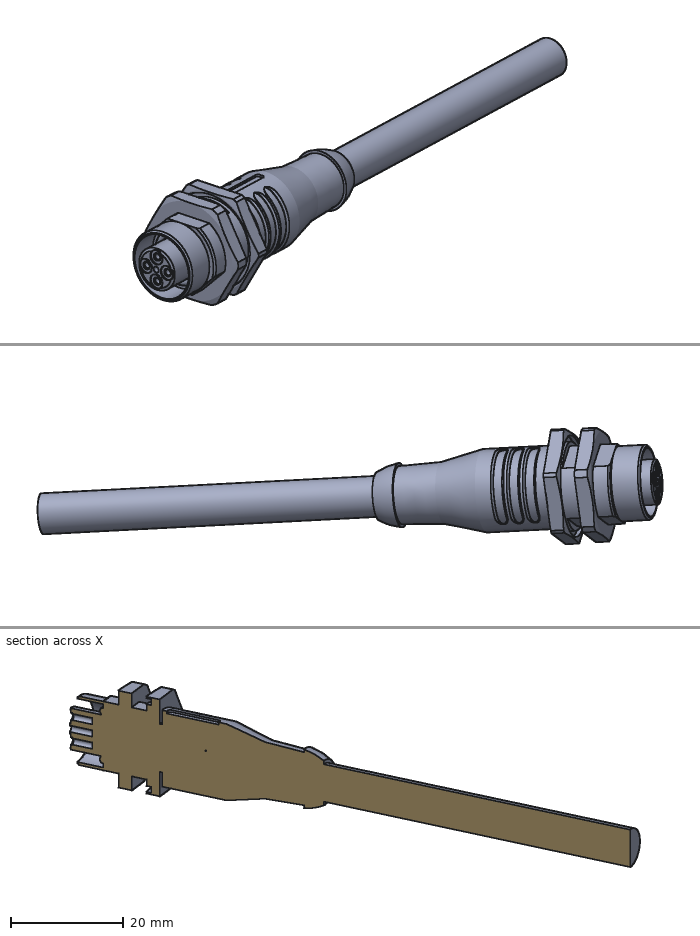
import cadquery as cq
import math

TOTAL_LENGTH = 113.5

INSERT_DIAMETER = 8.2
INSERT_FACE_DIAMETER = 7.0
INSERT_BEVEL_DEPTH = 0.2
CONTACT_COUNT = 4
CONTACT_HOLE_DIAMETER = 1.1
CONTACT_LEAD_DIAMETER = 1.5
CONTACT_LEAD_DEPTH = 0.5
CONTACT_RECESS_DIAMETER = 2.7
CONTACT_RECESS_DEPTH = 0.2
CONTACT_HOLE_DEPTH = 4.5
CONTACT_CIRCLE_RADIUS = 2.4

SHELL_DIAMETER = 13.5
SHELL_BORE = 12.3
SHELL_FRONT = 1.6
SHELL_CHAMFER = 0.3
SOCKET_FLOOR = 6.8

SEAL_CENTRE_DIAMETER = 9.4
SEAL_THICKNESS = 1.5

BARREL_DIAMETER = 16.0
BARREL_FRONT = 6.8
BARREL_CHAMFER = 0.3
FLAT_ANGLES = (90, 135, 270, 315)

HEX_ACROSS_FLATS = 19.0
NUT_FRONT = 9.9
NUT_CORNER_DIAMETER = 21.1
FLANGE_FRONT = 15.5
FLANGE_CORNER_DIAMETER = 21.5
HEX_THICKNESS = 2.7
HEX_CHAMFER_DEPTH = 0.3
SEAL_RECESS_DIAMETER = 18.2
SEAL_RECESS_DEPTH = 0.9

NECK_DIAMETER = 9.4
GRIP_DIAMETER = 15.0
GRIP_FRONT = 18.7
GRIP_END = 31.8
TAPER_END_DIAMETER = 11.1
TAPER_END = 39.6
SLEEVE_END_DIAMETER = 10.4
SLEEVE_END = 47.4
COLLAR_FRONT_DIAMETER = 11.6
COLLAR_END_DIAMETER = 8.7
COLLAR_END = 51.5
COLLAR_BULGE = 0.2
CABLE_DIAMETER = 7.4

RECESS_DEPTH = 0.5
FINGER_GROOVE_WIDTH = 1.6
FINGER_GROOVE_SPAN = 13.5
GROOVE_BEVEL = 0.4
FINGER_GROOVE_PITCH = 3.0
FINGER_GROOVE_COUNT = 3
FIRST_FINGER_GROOVE = 21.8
MARK_FRONT = 19.7
MARK_END = 30.2
MARK_WIDTH = 1.7
MARK_CORNER_RADIUS = 0.5


def cylinder(diameter, front, end):
    """Solid cylinder on the part axis between two Y positions."""
    return cq.Workplane("XZ", origin=(0, front, 0)).circle(diameter / 2).extrude(front - end)


def tube(outer, inner, front, end):
    return cylinder(outer, front, end).cut(cylinder(inner, front, end))


def revolved(outline):
    """Revolve an outline of (radius, Y) about the part axis."""
    return outline.close().revolve(360, (0, 0, 0), (0, 1, 0))


def hexagon(front, corner_diameter):
    """Hexagon with flats at +-Z, turned corners and a chamfered front face."""
    end = front + HEX_THICKNESS
    prism = (
        cq.Workplane("XZ", origin=(0, front, 0))
        .polygon(6, HEX_ACROSS_FLATS / math.cos(math.pi / 6))
        .extrude(-HEX_THICKNESS)
    )
    corner_radius = corner_diameter / 2
    turning = revolved(
        cq.Workplane("XY")
        .moveTo(0, front)
        .lineTo(HEX_ACROSS_FLATS / 2, front)
        .lineTo(corner_radius, front + HEX_CHAMFER_DEPTH)
        .lineTo(corner_radius, end)
        .lineTo(0, end)
    )
    return prism.intersect(turning)


def flange():
    """Hexagonal flange with a seal recess around the barrel."""
    recess = tube(SEAL_RECESS_DIAMETER, BARREL_DIAMETER, FLANGE_FRONT, FLANGE_FRONT + SEAL_RECESS_DEPTH)
    return hexagon(FLANGE_FRONT, FLANGE_CORNER_DIAMETER).cut(recess)


def barrel():
    """Threaded barrel with flats tangent to the shell."""
    body = cylinder(BARREL_DIAMETER, BARREL_FRONT, FLANGE_FRONT).faces("<Y").chamfer(BARREL_CHAMFER)
    length = FLANGE_FRONT - BARREL_FRONT
    middle = (FLANGE_FRONT + BARREL_FRONT) / 2
    for angle in FLAT_ANGLES:
        cutter = (
            cq.Workplane("XY")
            .box(BARREL_DIAMETER, length, BARREL_DIAMETER)
            .translate(((SHELL_DIAMETER + BARREL_DIAMETER) / 2, middle, 0))
            .rotate((0, 0, 0), (0, 1, 0), -angle)
        )
        body = body.cut(cutter)
    return body


def shell():
    body = cylinder(SHELL_DIAMETER, SHELL_FRONT, FLANGE_FRONT)
    return body.faces("<Y").edges().chamfer(SHELL_CHAMFER)


def seal():
    """Sealing ring lying on the socket floor."""
    radius = SEAL_CENTRE_DIAMETER / 2
    section = cq.Workplane("XY").center(radius, SOCKET_FLOOR).circle(SEAL_THICKNESS / 2)
    return section.revolve(360, (-radius, 0, 0), (-radius, 1, 0))


def contact_insert():
    """Insert with a centre contact hole and a ring of stepped contact holes."""
    body = revolved(
        cq.Workplane("XY")
        .lineTo(INSERT_FACE_DIAMETER / 2, 0)
        .lineTo(INSERT_DIAMETER / 2, INSERT_BEVEL_DEPTH)
        .lineTo(INSERT_DIAMETER / 2, FLANGE_FRONT)
        .lineTo(0, FLANGE_FRONT)
    )

    def ring_cut(diameter, depth):
        return (
            cq.Workplane("XZ")
            .polarArray(CONTACT_CIRCLE_RADIUS, 0, 360, CONTACT_COUNT)
            .circle(diameter / 2)
            .extrude(-depth)
        )

    return (
        body.cut(cylinder(CONTACT_HOLE_DIAMETER, 0, CONTACT_HOLE_DEPTH))
        .cut(ring_cut(CONTACT_HOLE_DIAMETER, CONTACT_HOLE_DEPTH))
        .cut(ring_cut(CONTACT_LEAD_DIAMETER, CONTACT_LEAD_DEPTH))
        .cut(ring_cut(CONTACT_RECESS_DIAMETER, CONTACT_RECESS_DEPTH))
    )


def grip():
    """Grip, taper, sleeve, collar and cable as one turned body."""
    collar_middle = (
        (COLLAR_FRONT_DIAMETER + COLLAR_END_DIAMETER) / 4 + COLLAR_BULGE,
        (SLEEVE_END + COLLAR_END) / 2,
    )
    body = revolved(
        cq.Workplane("XY")
        .moveTo(0, GRIP_FRONT)
        .lineTo(GRIP_DIAMETER / 2, GRIP_FRONT)
        .lineTo(GRIP_DIAMETER / 2, GRIP_END)
        .lineTo(TAPER_END_DIAMETER / 2, TAPER_END)
        .lineTo(SLEEVE_END_DIAMETER / 2, SLEEVE_END)
        .lineTo(COLLAR_FRONT_DIAMETER / 2, SLEEVE_END)
        .threePointArc(collar_middle, (COLLAR_END_DIAMETER / 2, COLLAR_END))
        .lineTo(CABLE_DIAMETER / 2, COLLAR_END)
        .lineTo(CABLE_DIAMETER / 2, TOTAL_LENGTH)
        .lineTo(0, TOTAL_LENGTH)
    )
    return body.rotate((0, 0, 0), (0, 1, 0), 90)


def finger_grooves():
    """Three obround grooves on each side, wrapped onto the grip with a constant depth."""
    skin = tube(GRIP_DIAMETER, GRIP_DIAMETER - 2 * RECESS_DEPTH, GRIP_FRONT, GRIP_END)
    places = [(FIRST_FINGER_GROOVE + i * FINGER_GROOVE_PITCH, 0) for i in range(FINGER_GROOVE_COUNT)]
    prisms = (
        cq.Workplane("YZ")
        .pushPoints(places)
        .slot2D(FINGER_GROOVE_SPAN, FINGER_GROOVE_WIDTH, 90)
        .extrude(GRIP_DIAMETER / 2, both=True)
    )
    return skin.intersect(prisms)


def bevel_groove_rims(body):
    """Bevel the rim of every opening in the cylindrical grip surface."""
    rims = [
        edge
        for face in body.faces("%CYLINDER").vals()
        for wire in face.innerWires()
        for edge in wire.Edges()
    ]
    return body.newObject(rims).chamfer(GROOVE_BEVEL)


def orientation_mark():
    """Flat-bottomed pocket on top of the grip."""
    floor = GRIP_DIAMETER / 2 - RECESS_DEPTH
    return (
        cq.Workplane("XY", origin=(0, (MARK_FRONT + MARK_END) / 2, floor))
        .rect(MARK_WIDTH, MARK_END - MARK_FRONT)
        .extrude(2 * RECESS_DEPTH)
        .edges("|Z")
        .fillet(MARK_CORNER_RADIUS)
    )


result = (
    shell()
    .union(barrel())
    .cut(cylinder(SHELL_BORE, 0, SOCKET_FLOOR))
    .union(seal())
    .union(contact_insert())
    .union(hexagon(NUT_FRONT, NUT_CORNER_DIAMETER))
    .union(flange())
    .union(cylinder(NECK_DIAMETER, FLANGE_FRONT, GRIP_END))
    .union(bevel_groove_rims(grip().cut(finger_grooves())))
    .cut(orientation_mark())
)